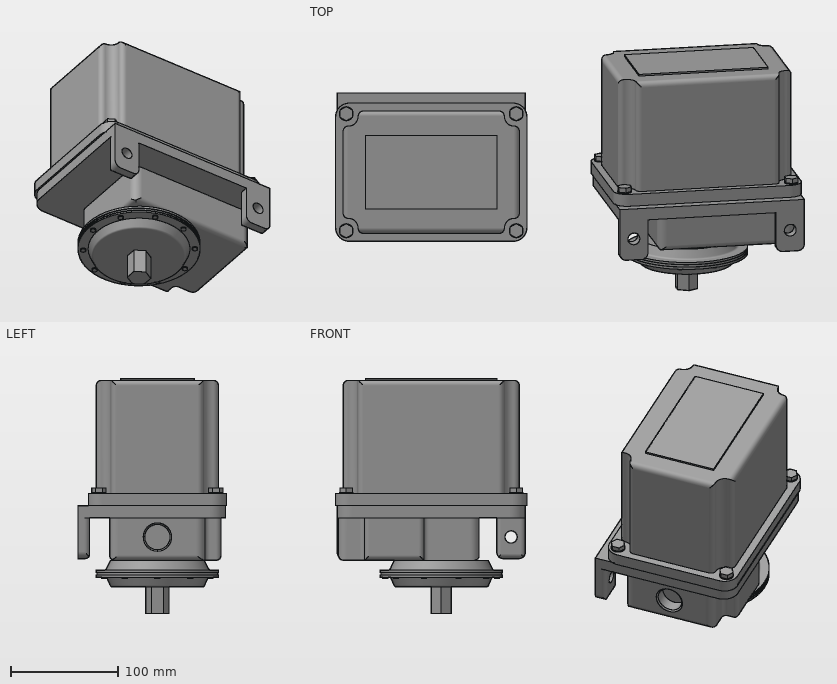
import cadquery as cq
import math

EPS = 0.01

OVERALL_DEPTH = 138.4
OVERALL_HEIGHT = 218.95

FLANGE_LENGTH = 178.48
FLANGE_WIDTH = 128.8
FLANGE_THICKNESS = 11.5
FLANGE_CORNER_RADIUS = 13.0
BOLT_X = 79.2
BOLT_Y = 54.5
BOLT_HEAD_FLATS = 11.6
BOLT_HEAD_HEIGHT = 4.4
WASHER_DIAMETER = 12.9
WASHER_THICKNESS = 0.8

DOME_LENGTH = 164.2
DOME_WIDTH = 114.0
DOME_TOP_Z = 116.85
DOME_EDGE_RADIUS = 5.0
CORNER_STEP_RADIUS = 9.0
LABEL_LENGTH = 122.7
LABEL_WIDTH = 68.7
LABEL_THICKNESS = 1.6

PLATE_LENGTH = 175.5
PLATE_FRONT_Y = -63.6
PLATE_BACK_Y = OVERALL_DEPTH - FLANGE_WIDTH / 2
PLATE_THICKNESS = 11.3
PLATE_CORNER_RADIUS = 14.3
LUG_WIDTH = 26.8
LUG_THICKNESS = 10.9
LUG_BOTTOM_Z = -49.4
LUG_CORNER_RADIUS = 6.3
LUG_EDGE_RADIUS = 4.4
LUG_HOLE_DIAMETER = 11.2
LUG_HOLE_Z = -29.1

HOUSING_LEFT_X = -86.4
HOUSING_RIGHT_X = 44.7
HOUSING_HALF_WIDTH = 44.5
HOUSING_BOTTOM_Z = -50.8
HOUSING_CORNER_RADIUS = 8.0
BULGE_LEFT_X = -62.0
BULGE_RIGHT_X = -6.8
BULGE_FRONT_Y = -59.3
BULGE_RADIUS = 4.4
HOUSING_BOTTOM_RADIUS = 4.4

CONDUIT_DIAMETER = 23.6
CONDUIT_CHAMFER = 1.4
CONDUIT_DEPTH = 13.0
CONDUIT_Z = -29.2

DRIVE_X = 9.3
CONE_SMALL_RADIUS = 43.8
CONE_LARGE_RADIUS = 48.3
CONE_FOOT_FILLET = 2.4
DISC_RADIUS = 57.0
DISC_TOP_Z = -60.0
DISC_THICKNESS = 2.2
GASKET_RADIUS = 56.4
GASKET_THICKNESS = 2.3
DRIVE_BOTTOM_Z = -75.6
LOWER_CONE_TOP_RADIUS = 47.4
LOWER_CONE_BOTTOM_RADIUS = 43.4
LOWER_CONE_FILLET = 2.0
SCREW_COUNT = 10
SCREW_CIRCLE_RADIUS = 52.0
SCREW_DIAMETER = 5.0
SCREW_HEAD_HEIGHT = 1.2
SHAFT_FLATS = 19.0
SHAFT_BOTTOM_Z = DOME_TOP_Z + LABEL_THICKNESS - OVERALL_HEIGHT


def block(x_min, x_max, y_min, y_max, z_min, z_max):
    """Box between two opposite corners."""
    return cq.Workplane("XY").box(
        x_max - x_min, y_max - y_min, z_max - z_min, centered=False
    ).translate((x_min, y_min, z_min))


def centred_block(length, width, z_min, z_max):
    """Box centred on the Z axis."""
    return block(-length / 2, length / 2, -width / 2, width / 2, z_min, z_max)


def hexagon(flats, z_min, z_max):
    """Hexagonal prism with its flats facing +X and -X."""
    corners = flats / math.cos(math.pi / 6)
    prism = cq.Workplane("XY").polygon(6, corners).extrude(z_max - z_min)
    return prism.rotate((0, 0, 0), (0, 0, 1), 90).translate((0, 0, z_min))


def disc(radius, z_min, z_max):
    """Upright cylinder on the Z axis."""
    return cq.Workplane("XY").workplane(offset=z_min).circle(radius).extrude(z_max - z_min)


def bolt_points():
    """Centres of the four cover bolts."""
    return [(sx * BOLT_X, sy * BOLT_Y) for sx in (-1, 1) for sy in (-1, 1)]


def make_cover_flange():
    flange = centred_block(FLANGE_LENGTH, FLANGE_WIDTH, 0, FLANGE_THICKNESS)
    return flange.edges("|Z").fillet(FLANGE_CORNER_RADIUS)


def dome_outline():
    """Rectangle whose corners are stepped in by an outward, an inward and an outward quarter arc."""
    corner_step = 2 * DOME_EDGE_RADIUS + CORNER_STEP_RADIUS
    flat_x = DOME_LENGTH / 2 - corner_step
    flat_y = DOME_WIDTH / 2 - corner_step
    flat_ends = [
        (DOME_LENGTH / 2, flat_y),
        (-flat_x, DOME_WIDTH / 2),
        (-DOME_LENGTH / 2, -flat_y),
        (flat_x, -DOME_WIDTH / 2),
    ]
    corner_directions = [(-1, 1), (-1, -1), (1, -1), (1, 1)]
    outline = cq.Workplane("XY").moveTo(DOME_LENGTH / 2, -flat_y)
    for (end_x, end_y), (step_x, step_y) in zip(flat_ends, corner_directions):
        outline = outline.lineTo(end_x, end_y)
        for radius in (DOME_EDGE_RADIUS, CORNER_STEP_RADIUS, DOME_EDGE_RADIUS):
            outline = outline.tangentArcPoint((step_x * radius, step_y * radius))
    return outline.close()


def make_dome():
    """Cover body: rounded top edges, corners stepped in to clear the bolts."""
    base_z = FLANGE_THICKNESS - EPS
    walls = dome_outline().extrude(DOME_TOP_Z - base_z).translate((0, 0, base_z))
    rounded_box = centred_block(DOME_LENGTH, DOME_WIDTH, base_z, DOME_TOP_Z)
    rounded_box = rounded_box.faces(">Z").edges().fillet(DOME_EDGE_RADIUS)
    return walls.intersect(rounded_box)


def make_label():
    return centred_block(LABEL_LENGTH, LABEL_WIDTH, DOME_TOP_Z - EPS, DOME_TOP_Z + LABEL_THICKNESS)


def make_bolt():
    washer_top = FLANGE_THICKNESS + WASHER_THICKNESS
    washer = disc(WASHER_DIAMETER / 2, FLANGE_THICKNESS - EPS, washer_top)
    return washer.union(hexagon(BOLT_HEAD_FLATS, washer_top - EPS, washer_top + BOLT_HEAD_HEIGHT))


def make_plate():
    plate = block(
        -PLATE_LENGTH / 2, PLATE_LENGTH / 2, PLATE_FRONT_Y, PLATE_BACK_Y, -PLATE_THICKNESS, 0
    )
    return plate.edges("|Z and <Y").fillet(PLATE_CORNER_RADIUS)


def make_lug(center_x):
    """Lug hanging from the plate, rounded at the bottom and drilled through."""
    x_min = center_x - LUG_WIDTH / 2
    x_max = center_x + LUG_WIDTH / 2
    front_y = PLATE_BACK_Y - LUG_THICKNESS
    body = block(x_min, x_max, front_y, PLATE_BACK_Y, LUG_BOTTOM_Z, -PLATE_THICKNESS)
    rounded_end = body.edges("|Y and <Z").fillet(LUG_CORNER_RADIUS)
    soft_front = body.faces("<Y").edges("|Z or <Z").fillet(LUG_EDGE_RADIUS)
    hole = (
        cq.Workplane("XZ", origin=(center_x, PLATE_BACK_Y, LUG_HOLE_Z))
        .circle(LUG_HOLE_DIAMETER / 2)
        .extrude(LUG_THICKNESS)
    )
    return rounded_end.intersect(soft_front).cut(hole)


def make_housing():
    """Housing outline trimmed by a box with rounded bottom edges."""
    top_z = -PLATE_THICKNESS + EPS
    body = block(
        HOUSING_LEFT_X, HOUSING_RIGHT_X, -HOUSING_HALF_WIDTH, HOUSING_HALF_WIDTH,
        HOUSING_BOTTOM_Z, top_z,
    )
    body = body.edges("|Z").fillet(HOUSING_CORNER_RADIUS)
    bulge = block(BULGE_LEFT_X, BULGE_RIGHT_X, BULGE_FRONT_Y, 0, HOUSING_BOTTOM_Z, top_z)
    bulge = bulge.edges("|Z and <Y").fillet(BULGE_RADIUS)
    body = body.union(bulge)
    for x in (BULGE_LEFT_X, BULGE_RIGHT_X):
        inner_corner = cq.selectors.NearestToPointSelector(
            (x, -HOUSING_HALF_WIDTH, (HOUSING_BOTTOM_Z + top_z) / 2)
        )
        body = body.edges(inner_corner).fillet(BULGE_RADIUS)
    rounded_box = block(
        HOUSING_LEFT_X, HOUSING_RIGHT_X, BULGE_FRONT_Y, HOUSING_HALF_WIDTH,
        HOUSING_BOTTOM_Z, top_z,
    )
    rounded_box = rounded_box.faces("<Z").edges().fillet(HOUSING_BOTTOM_RADIUS)
    return body.intersect(rounded_box).cut(make_conduit_hole())


def make_conduit_hole():
    """Blind bore along X with a chamfered mouth."""
    radius = CONDUIT_DIAMETER / 2
    profile = [
        (0, 0),
        (radius + CONDUIT_CHAMFER, 0),
        (radius, CONDUIT_CHAMFER),
        (radius, CONDUIT_DEPTH),
        (0, CONDUIT_DEPTH),
    ]
    bore = cq.Workplane("XZ").polyline(profile).close().revolve(360, (0, 0), (0, 1))
    bore = bore.rotate((0, 0, 0), (0, 1, 0), 90)
    return bore.translate((HOUSING_LEFT_X, 0, CONDUIT_Z))


def make_drive():
    """Turned boss with two discs, gasket and screw heads, and the hexagonal shaft."""
    gasket_top = DISC_TOP_Z - DISC_THICKNESS
    gasket_bottom = gasket_top - GASKET_THICKNESS
    disc_bottom = gasket_bottom - DISC_THICKNESS
    profile = [
        (0, HOUSING_BOTTOM_Z + EPS),
        (CONE_SMALL_RADIUS, HOUSING_BOTTOM_Z + EPS),
        (CONE_LARGE_RADIUS, DISC_TOP_Z),
        (DISC_RADIUS, DISC_TOP_Z),
        (DISC_RADIUS, gasket_top),
        (GASKET_RADIUS, gasket_top),
        (GASKET_RADIUS, gasket_bottom),
        (DISC_RADIUS, gasket_bottom),
        (DISC_RADIUS, disc_bottom),
        (LOWER_CONE_TOP_RADIUS, disc_bottom),
        (LOWER_CONE_BOTTOM_RADIUS, DRIVE_BOTTOM_Z),
        (0, DRIVE_BOTTOM_Z),
    ]
    drive = cq.Workplane("XZ").polyline(profile).close().revolve(360, (0, 0), (0, 1))
    drive = drive.faces("<Z").edges().fillet(LOWER_CONE_FILLET)
    foot_reach = (CONE_LARGE_RADIUS + DISC_RADIUS) / 2
    cone_foot = cq.selectors.BoxSelector(
        (-foot_reach, -foot_reach, DISC_TOP_Z - EPS),
        (foot_reach, foot_reach, DISC_TOP_Z + EPS),
        boundingbox=True,
    )
    drive = drive.edges(cone_foot).fillet(CONE_FOOT_FILLET)
    screws = (
        cq.Workplane("XY", origin=(0, 0, disc_bottom + EPS))
        .polarArray(SCREW_CIRCLE_RADIUS, 0, 360, SCREW_COUNT)
        .circle(SCREW_DIAMETER / 2)
        .extrude(-SCREW_HEAD_HEIGHT - EPS)
    )
    shaft = hexagon(SHAFT_FLATS, SHAFT_BOTTOM_Z, DRIVE_BOTTOM_Z + EPS)
    return drive.union(screws).union(shaft).translate((DRIVE_X, 0, 0))


result = make_cover_flange().union(make_dome()).union(make_label())
for bolt_x, bolt_y in bolt_points():
    result = result.union(make_bolt().translate((bolt_x, bolt_y, 0)))
result = result.union(make_plate())
for side in (-1, 1):
    result = result.union(make_lug(side * (PLATE_LENGTH - LUG_WIDTH) / 2))
result = result.union(make_housing()).union(make_drive())